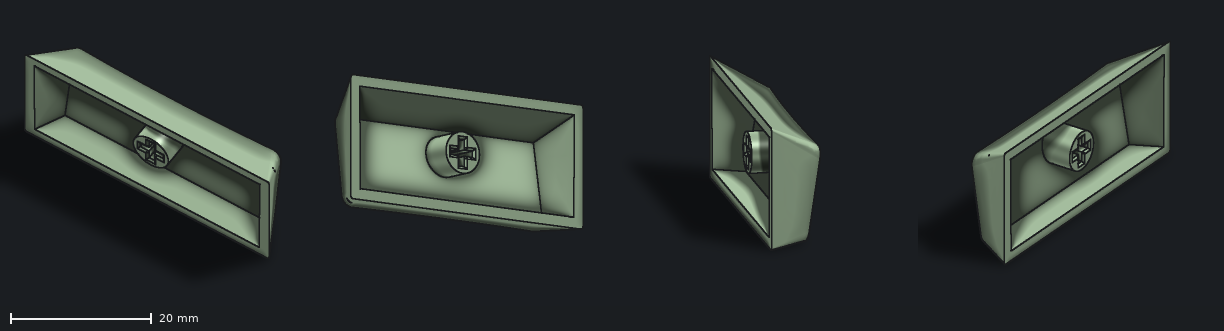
import cadquery as cq
import math

rim_width = 41.7
rim_height = 18.0
corner_depth = 7.95
rim_radius = 0.4

back_width = 35.63
back_top_z = 13.9
back_bottom_y = 5.92
back_radius = 1.65
dish_sag = 0.7

wall = 1.6
cavity_top_width = rim_width - 2 * wall
cavity_bottom_width = 38.3
cavity_top_z = rim_height - wall
floor_top_width = 33.55
floor_bottom_width = 33.88
floor_top_z = 12.97
floor_bottom_y = 4.45
floor_top_y = 6.35

stem_diameter = 6.0
stem_z = 9.0
stem_face_y = 1.0
cross_length = 4.67
cross_arm_width = 1.65
cross_inset = 0.38
cross_bevel_depth = 0.3

tilt = math.atan2(corner_depth - back_bottom_y, back_top_z)
floor_tilt = math.atan2(floor_top_y - floor_bottom_y, floor_top_z - wall)


def plane_at(y, z, lean=0.0):
    """Plane facing +Y, leaning back about X, with local y pointing downward."""
    normal = (0, math.cos(lean), -math.sin(lean))
    return cq.Plane(origin=(0, y, z), xDir=(1, 0, 0), normal=normal)


def rounded_rectangle(plane, width, height, radius):
    """Round-cornered wire standing on the plane origin."""
    outline = cq.Workplane(plane).center(0, -height / 2).rect(width, height).val()
    return outline.fillet2D(radius, outline.Vertices())


def trapezoid(plane, top_width, bottom_width, height):
    """Four-sided wire standing on the plane origin."""
    corners = [
        (-bottom_width / 2, 0),
        (bottom_width / 2, 0),
        (top_width / 2, -height),
        (-top_width / 2, -height),
    ]
    return cq.Workplane(plane).polyline(corners).close().val()


def ruled_block(front_wire, back_wire):
    """Solid with straight-ruled sides between two wires."""
    return cq.Workplane(cq.Solid.makeLoft([front_wire, back_wire], True))


def dish_cutter():
    """Large cylinder whose axis follows the leaning back, with its lowest line dish_sag deep."""
    half_width = back_width / 2
    dish_radius = (half_width**2 + dish_sag**2) / (2 * dish_sag)
    axis_offset = dish_radius - dish_sag
    plane = plane_at(back_bottom_y, 0, tilt)
    start = plane.toWorldCoords((0, rim_height, axis_offset))
    upward = plane.yDir * -1
    length = 3 * rim_height
    return cq.Workplane(cq.Solid.makeCylinder(dish_radius, length, start, upward))


def cross_prism(inset, length, taper=0.0):
    """Cross reaching inward from the stem face, its outline shrunk by inset."""
    arm_length = cross_length - 2 * inset
    arm_width = cross_arm_width - 2 * inset
    outline = cq.Sketch().rect(arm_length, arm_width).rect(arm_width, arm_length).clean()
    plane = plane_at(stem_face_y, stem_z)
    return cq.Workplane(plane).placeSketch(outline).extrude(length, taper=taper)


outer_front = rounded_rectangle(plane_at(0, 0), rim_width, rim_height, rim_radius)
outer_back = rounded_rectangle(
    plane_at(back_bottom_y, 0, tilt), back_width, back_top_z / math.cos(tilt), back_radius
)
shell = ruled_block(outer_front, outer_back).cut(dish_cutter())

cavity_front = trapezoid(plane_at(0, wall), cavity_top_width, cavity_bottom_width, cavity_top_z - wall)
cavity_floor = trapezoid(
    plane_at(floor_bottom_y, wall, floor_tilt),
    floor_top_width,
    floor_bottom_width,
    (floor_top_z - wall) / math.cos(floor_tilt),
)
cavity = ruled_block(cavity_front, cavity_floor)

reach = corner_depth - stem_face_y
stem = cq.Workplane(plane_at(stem_face_y, stem_z)).circle(stem_diameter / 2).extrude(reach)
bevel_angle = math.degrees(math.atan2(cross_inset, cross_bevel_depth))
bevel = cross_prism(0, cross_bevel_depth, bevel_angle)
socket = cross_prism(cross_inset, reach).union(bevel)

result = shell.cut(cavity.cut(stem.cut(socket)))